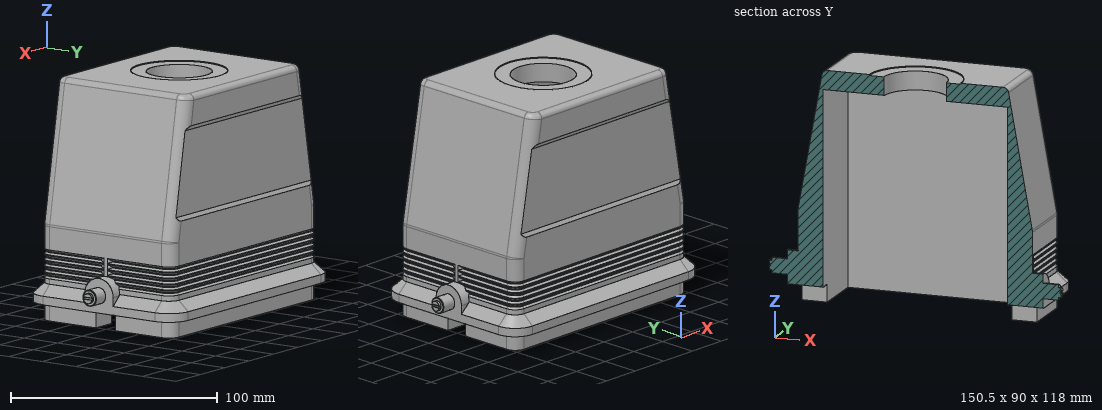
import cadquery as cq
import math

BODY_X = 121.0
BODY_Y = 79.0
BODY_R = 6.0
HEIGHT = 118.0
TAPER_Z = 47.2
TAPER_ANGLE = 10.2
TAPER_BLEND_R = 6.0
TOP_FILLET = 3.0

RECESS_DEPTH = 1.0
RECESS_LOW_Z = 57.1
RECESS_HIGH_Z = 102.8
RECESS_RAMP = 2.0

FLANGE_Z = 9.0
FLANGE_BAND = 4.3
FLANGE_OVERHANG = 5.5
FLANGE_BEVEL = 5.0

GROOVE_COUNT = 5
GROOVE_PITCH = 2.95
GROOVE_START_Z = 20.9
GROOVE_DEPTH = 1.0
GROOVE_FLOOR = 0.5
GROOVE_SLOPE = 45.0

RIB_HALF_OUTER = 1.0
RIB_HALF_INNER = 3.3

PIN_Z = 17.7
PIN_BOSS_R = 8.5
PIN_R = 4.0
PIN_CHAMFER = 0.3
PIN_END_X = 73.9
TIP_END_X = 75.25
TIP_R = 2.5
TIP_SLOT_WIDTH = 1.0
TIP_SLOT_DEPTH = 0.5

ENTRY_DIAMETER = 32.0
SEAT_DIAMETER = 47.0
SEAT_DEPTH = 0.5

ROOF = 10.0
CAVITY_X = 95.0
CAVITY_Y = 70.4
CAVITY_HEIGHT = HEIGHT - ROOF

NOTCH_WIDTH = 11.7

FLANGE_HALF_X = BODY_X / 2 + FLANGE_OVERHANG

OVERLAP = 2.0


def rounded_block(size_x, size_y, radius, z_low, height):
    """Upright block with rounded vertical corners."""
    block = cq.Workplane("XY").workplane(offset=z_low).rect(size_x, size_y).extrude(height)
    return block.edges("|Z").fillet(radius)


def rounded_rect_sketch(size_x, size_y, radius):
    """Rectangle with rounded corners, centred on the origin."""
    return cq.Sketch().rect(size_x, size_y).vertices().fillet(radius)


def make_body():
    """Straight skirt below, both ends leaning inwards above TAPER_Z, all corners rounded."""
    half = BODY_X / 2
    top_half = half - (HEIGHT - TAPER_Z) * math.tan(math.radians(TAPER_ANGLE))
    outline = [
        (-half, 0),
        (half, 0),
        (half, TAPER_Z),
        (top_half, HEIGHT),
        (-top_half, HEIGHT),
        (-half, TAPER_Z),
    ]
    body = cq.Workplane("XZ").polyline(outline).close().extrude(BODY_Y / 2, both=True)
    bend_edges = body.edges("|Y").edges("not <Z").edges("<Z")
    body = bend_edges.fillet(TAPER_BLEND_R)
    corner_edges = body.faces("|Y").edges("not #Z")
    body = corner_edges.fillet(BODY_R)
    return body.faces(">Z").edges().fillet(TOP_FILLET)


def cut_side_recesses(body):
    """Shallow recess across each long side, leaving raised bands above and below."""
    outer_y = BODY_Y / 2
    floor_y = outer_y - RECESS_DEPTH
    for side in (-1, 1):
        outline = [
            (side * outer_y, RECESS_LOW_Z),
            (side * floor_y, RECESS_LOW_Z + RECESS_RAMP),
            (side * floor_y, RECESS_HIGH_Z - RECESS_RAMP),
            (side * outer_y, RECESS_HIGH_Z),
        ]
        recess = cq.Workplane("YZ").polyline(outline).close().extrude(BODY_X / 2, both=True)
        body = body.cut(recess)
    return body


def make_groove_ring(z_low):
    """Ring whose removal leaves one groove with sloped sides around the body."""
    height = 2 * GROOVE_DEPTH + GROOVE_FLOOR
    floor_x = BODY_X - 2 * GROOVE_DEPTH
    floor_y = BODY_Y - 2 * GROOVE_DEPTH
    floor_r = BODY_R - GROOVE_DEPTH
    outline = rounded_rect_sketch(BODY_X, BODY_Y, BODY_R)
    lower = cq.Workplane("XY", (0, 0, z_low)).placeSketch(outline).extrude(GROOVE_DEPTH, taper=GROOVE_SLOPE)
    upper = lower.mirror("XY", (0, 0, z_low + height / 2))
    floor = rounded_block(floor_x, floor_y, floor_r, z_low, height)
    slab = cq.Workplane("XY", (0, 0, z_low)).rect(BODY_X + OVERLAP, BODY_Y + OVERLAP).extrude(height)
    return slab.cut(lower).cut(upper).cut(floor)


def make_end_ribs():
    """Vertical ribs that interrupt the grooves, running out into the groove floors."""
    outer_x = BODY_X / 2
    inner_x = outer_x - GROOVE_DEPTH
    height = GROOVE_COUNT * GROOVE_PITCH
    rib_plan = [
        (inner_x, -RIB_HALF_INNER),
        (outer_x, -RIB_HALF_OUTER),
        (outer_x, RIB_HALF_OUTER),
        (inner_x, RIB_HALF_INNER),
    ]
    rib = cq.Workplane("XY", (0, 0, GROOVE_START_Z)).polyline(rib_plan).close().extrude(height)
    return rib.union(rib.mirror("YZ"))


def cut_grooves(body):
    """Stack of grip grooves around the body, stopped short of the end ribs."""
    ribs = make_end_ribs()
    for index in range(GROOVE_COUNT):
        ring = make_groove_ring(GROOVE_START_Z + index * GROOVE_PITCH)
        body = body.cut(ring.cut(ribs))
    return body


def make_flange():
    """Straight band topped by a bevel that meets the body."""
    size_x = BODY_X + 2 * FLANGE_OVERHANG
    size_y = BODY_Y + 2 * FLANGE_OVERHANG
    radius = BODY_R + FLANGE_OVERHANG
    band = rounded_block(size_x, size_y, radius, FLANGE_Z, FLANGE_BAND)
    bevel_angle = math.degrees(math.atan(FLANGE_OVERHANG / FLANGE_BEVEL))
    outline = rounded_rect_sketch(size_x, size_y, radius)
    bevel = cq.Workplane("XY", (0, 0, FLANGE_Z + FLANGE_BAND)).placeSketch(outline)
    return band.union(bevel.extrude(FLANGE_BEVEL, taper=bevel_angle))


def make_pin_boss():
    """Arched boss standing on the flange at the +X end, rooted at the groove floors."""
    root_x = BODY_X / 2 - GROOVE_DEPTH
    return (
        cq.Workplane("YZ", (root_x, 0, 0))
        .moveTo(-PIN_BOSS_R, FLANGE_Z)
        .lineTo(PIN_BOSS_R, FLANGE_Z)
        .lineTo(PIN_BOSS_R, PIN_Z)
        .threePointArc((0, PIN_Z + PIN_BOSS_R), (-PIN_BOSS_R, PIN_Z))
        .close()
        .extrude(FLANGE_HALF_X - root_x)
    )


def make_pin():
    """Chamfered locking pin with a slotted stub at its +X end."""
    root_x = FLANGE_HALF_X - OVERLAP
    pin = cq.Workplane("YZ", (root_x, 0, PIN_Z)).circle(PIN_R).extrude(PIN_END_X - root_x)
    pin = pin.faces(">X").chamfer(PIN_CHAMFER)
    tip = cq.Workplane("YZ", (root_x, 0, PIN_Z)).circle(TIP_R).extrude(TIP_END_X - root_x)
    slot = cq.Workplane("XY", (TIP_END_X, 0, PIN_Z)).box(2 * TIP_SLOT_DEPTH, 2 * PIN_R, TIP_SLOT_WIDTH)
    return pin.union(tip.cut(slot))


def make_cable_entry():
    """Through hole in the roof with a shallow seat around it."""
    top = cq.Workplane("XY", (0, 0, HEIGHT))
    hole = top.circle(ENTRY_DIAMETER / 2).extrude(-ROOF - OVERLAP)
    seat = top.circle(SEAT_DIAMETER / 2).extrude(-SEAT_DEPTH)
    return hole.union(seat)


body = cut_grooves(cut_side_recesses(make_body()))
pin_end = make_pin_boss().union(make_pin())
hood = body.union(make_flange()).union(pin_end).union(pin_end.mirror("YZ"))

cavity = cq.Workplane("XY").box(CAVITY_X, CAVITY_Y, CAVITY_HEIGHT, centered=(True, True, False))
notch = cq.Workplane("XY").box(BODY_X + OVERLAP, NOTCH_WIDTH, FLANGE_Z, centered=(True, True, False))

result = hood.cut(cavity).cut(make_cable_entry()).cut(notch)